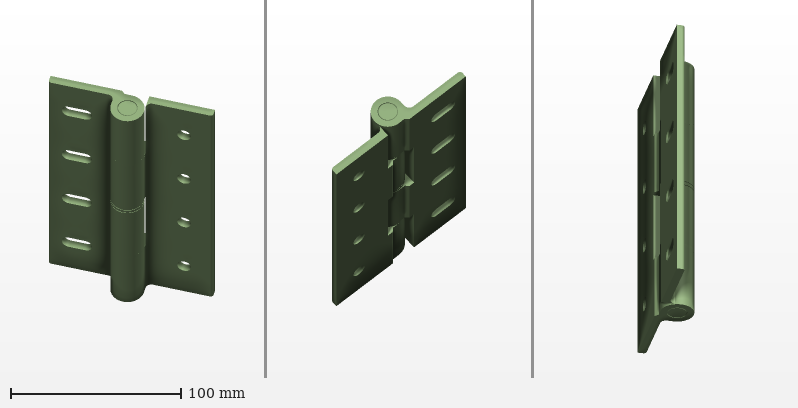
import cadquery as cq
import math


hinge_height = 166.0
knuckle_count = 4
knuckle_height = 39.8
washer_thickness = 2.0
washer_count = knuckle_count - 1
free_height = hinge_height - knuckle_count * knuckle_height
middle_gap = free_height - (washer_count - 1) * washer_thickness
knuckle_gaps = [washer_thickness, middle_gap, washer_thickness]

hinge_width = 100.0
leaf_thickness = 5.0
barrel_diameter = 20.1
edge_radius = 1.8
root_radius = 3.5
relief_depth = 2.0
relief_half_width = 6.5
half_width = hinge_width / 2
barrel_radius = barrel_diameter / 2
back_y = barrel_radius + relief_depth
front_y = back_y - leaf_thickness

hole_diameter = 8.5
hole_offset = 32.5
slot_length = 18.5
hole_count = 4
hole_pitch = 40.0

pin_radius = 6.0
pin_chamfer = 0.5


def knuckle_bottom(index):
    """Height of the lower face of a knuckle, counted from the bottom of the hinge."""
    return index * knuckle_height + sum(knuckle_gaps[:index])


def leaf_blank():
    """Full-height left leaf with a solid barrel."""
    arc_middle = barrel_radius * math.cos(math.radians(45))
    return (
        cq.Workplane("XY")
        .moveTo(-half_width, back_y)
        .lineTo(-relief_half_width, back_y)
        .lineTo(-relief_half_width + relief_depth, barrel_radius)
        .lineTo(0, barrel_radius)
        .threePointArc((arc_middle, -arc_middle), (-barrel_radius, 0))
        .lineTo(-barrel_radius, front_y - root_radius)
        .radiusArc((-barrel_radius - root_radius, front_y), -root_radius)
        .lineTo(-half_width + edge_radius, front_y)
        .radiusArc((-half_width, front_y + edge_radius), edge_radius)
        .close()
        .extrude(hinge_height)
    )


def knuckle_notch(index):
    """Block that clears one knuckle and the gaps beside it from the barrel zone."""
    bottom = 0 if index == 0 else knuckle_bottom(index - 1) + knuckle_height
    top = hinge_height if index == knuckle_count - 1 else knuckle_bottom(index + 1)
    return (
        cq.Workplane("XY")
        .workplane(offset=bottom)
        .rect(2 * barrel_radius, 2 * back_y)
        .extrude(top - bottom)
    )


def left_blank_with_knuckles(kept_knuckles):
    """Left-handed leaf that keeps only the listed knuckles, bored for the pin."""
    leaf = leaf_blank()
    for index in range(knuckle_count):
        if index not in kept_knuckles:
            leaf = leaf.cut(knuckle_notch(index))
    bore = cq.Workplane("XY").circle(pin_radius).extrude(hinge_height)
    return leaf.cut(bore)


def screw_positions(x):
    """Screw centres, evenly spaced about mid-height."""
    first = (hinge_height - (hole_count - 1) * hole_pitch) / 2
    return [(x, first + i * hole_pitch) for i in range(hole_count)]


def left_leaf():
    """Leaf on the -X side with adjustment slots."""
    slots = (
        cq.Workplane("XZ", origin=(0, back_y, 0))
        .pushPoints(screw_positions(-hole_offset))
        .slot2D(slot_length, hole_diameter)
        .extrude(leaf_thickness)
    )
    return left_blank_with_knuckles((1, 3)).cut(slots)


def right_leaf():
    """Leaf on the +X side with round holes."""
    holes = (
        cq.Workplane("XZ", origin=(0, back_y, 0))
        .pushPoints(screw_positions(hole_offset))
        .circle(hole_diameter / 2)
        .extrude(leaf_thickness)
    )
    return left_blank_with_knuckles((0, 2)).mirror("YZ").cut(holes)


def washer(index):
    """Ring centred in the gap between a knuckle and the one above it."""
    gap_middle = knuckle_bottom(index + 1) - knuckle_gaps[index] / 2
    return (
        cq.Workplane("XY")
        .workplane(offset=gap_middle - washer_thickness / 2)
        .circle(barrel_radius)
        .circle(pin_radius)
        .extrude(washer_thickness)
    )


def hinge_pin():
    """Full-height pin, chamfered at both ends."""
    pin = cq.Workplane("XY").circle(pin_radius).extrude(hinge_height)
    return pin.faces("<Z or >Z").chamfer(pin_chamfer)


slotted_leaf = left_leaf()
drilled_leaf = right_leaf()
washers = [washer(index) for index in range(washer_count)]
pin = hinge_pin()

result = cq.Compound.makeCompound(
    [slotted_leaf.val(), drilled_leaf.val(), *[ring.val() for ring in washers], pin.val()]
)